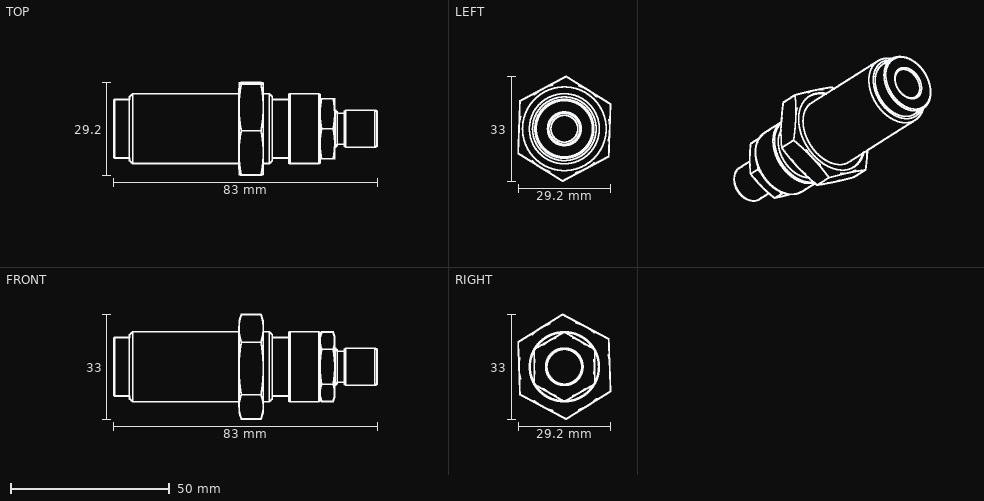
import cadquery as cq
import math


SLEEVE_START = 5.0
SLEEVE_END = 50.0
COLLAR_START = 55.1
COLLAR_END = 65.05
SLEEVE_RADIUS = 11.0
NECK_RADIUS = 9.3
BORE_RADIUS = 4.9
SLEEVE_CHAMFER = 1.0
EDGE_CHAMFER = 0.4
COLLAR_CHAMFER_LENGTH = 0.5
COLLAR_CHAMFER_DEPTH = 0.25

NUT_START = 39.5
NUT_LENGTH = 7.6
NUT_ACROSS_FLATS = 28.6
NUT_TURN = 2.0

SEAL_SECTION_RADIUS = 1.1
SEAL_PROUD = 0.2
SEAL_RING_RADIUS = SLEEVE_RADIUS + SEAL_SECTION_RADIUS
SEAL_CENTRE = NUT_START - SEAL_PROUD + SEAL_SECTION_RADIUS
RECESS_RADIUS = SLEEVE_RADIUS + 2 * SEAL_SECTION_RADIUS
RECESS_DEPTH = 2 * SEAL_SECTION_RADIUS - SEAL_PROUD

END_HEX_LENGTH = 4.6
END_HEX_ACROSS_FLATS = 19.0
END_HEX_END = COLLAR_END + END_HEX_LENGTH

HEX_CHAMFER_ANGLE = 18.0

PIN_END = 83.0
PIN_RADIUS = 5.9
PIN_NECK_RADIUS = 4.9
PIN_SHOULDER_END = 70.4
PIN_SHOULDER_CHAMFER = 0.6
PIN_HEAD_START = 72.7
PIN_HEAD_CHAMFER_DEPTH = 0.4
PIN_HEAD_CHAMFER_START = 0.5
PIN_HEAD_CHAMFER_END = 0.7
SEAT_RADIUS = 4.2
SEAT_TIP_RADIUS = 1.3
SEAT_ANGLE = 45.0
SEAT_DISH_DEPTH = 0.4


def revolve_about_x(profile):
    """Revolve a closed profile, drawn as (X, radius), about the X axis."""
    return profile.close().revolve(360, (0, 0, 0), (1, 0, 0))


def cylinder(start, end, radius):
    """Solid cylinder along the X axis."""
    return cq.Workplane("YZ", origin=(start, 0, 0)).circle(radius).extrude(end - start)


def chamfered_hexagon(start, length, across_flats, turn):
    """Hexagonal prism along X with corners at the top and bottom, both ends turned conical."""
    corner_radius = across_flats / math.sqrt(3)
    face_radius = across_flats / 2
    cone_length = (corner_radius - face_radius) * math.tan(math.radians(HEX_CHAMFER_ANGLE))
    end = start + length
    prism = (
        cq.Workplane("YZ", origin=(start, 0, 0))
        .transformed(rotate=(0, 0, 90 + turn))
        .polygon(6, 2 * corner_radius)
        .extrude(length)
    )
    envelope = revolve_about_x(
        cq.Workplane("XY")
        .moveTo(start, 0)
        .lineTo(start, face_radius)
        .lineTo(start + cone_length, corner_radius)
        .lineTo(end - cone_length, corner_radius)
        .lineTo(end, face_radius)
        .lineTo(end, 0)
    )
    return prism.intersect(envelope)


def make_housing():
    chamfered_sleeve_radius = SLEEVE_RADIUS - SLEEVE_CHAMFER
    collar_face_radius = SLEEVE_RADIUS - COLLAR_CHAMFER_DEPTH
    return revolve_about_x(
        cq.Workplane("XY")
        .moveTo(0, BORE_RADIUS + EDGE_CHAMFER)
        .lineTo(0, NECK_RADIUS - EDGE_CHAMFER)
        .lineTo(EDGE_CHAMFER, NECK_RADIUS)
        .lineTo(SLEEVE_START, NECK_RADIUS)
        .lineTo(SLEEVE_START, chamfered_sleeve_radius)
        .lineTo(SLEEVE_START + SLEEVE_CHAMFER, SLEEVE_RADIUS)
        .lineTo(SLEEVE_END - SLEEVE_CHAMFER, SLEEVE_RADIUS)
        .lineTo(SLEEVE_END, chamfered_sleeve_radius)
        .lineTo(SLEEVE_END, NECK_RADIUS)
        .lineTo(COLLAR_START, NECK_RADIUS)
        .lineTo(COLLAR_START, collar_face_radius)
        .lineTo(COLLAR_START + COLLAR_CHAMFER_LENGTH, SLEEVE_RADIUS)
        .lineTo(COLLAR_END - COLLAR_CHAMFER_LENGTH, SLEEVE_RADIUS)
        .lineTo(COLLAR_END, collar_face_radius)
        .lineTo(COLLAR_END, BORE_RADIUS)
        .lineTo(EDGE_CHAMFER, BORE_RADIUS)
    )


def make_locknut():
    blank = chamfered_hexagon(NUT_START, NUT_LENGTH, NUT_ACROSS_FLATS, NUT_TURN)
    bore = cylinder(NUT_START, NUT_START + NUT_LENGTH, SLEEVE_RADIUS)
    recess = cylinder(NUT_START, NUT_START + RECESS_DEPTH, RECESS_RADIUS)
    return blank.cut(bore).cut(recess).solids()


def make_seal_ring():
    return (
        cq.Workplane("XY")
        .center(SEAL_CENTRE, SEAL_RING_RADIUS)
        .circle(SEAL_SECTION_RADIUS)
        .revolve(360, (0, -SEAL_RING_RADIUS, 0), (1, -SEAL_RING_RADIUS, 0))
    )


def make_end_hexagon():
    blank = chamfered_hexagon(COLLAR_END, END_HEX_LENGTH, END_HEX_ACROSS_FLATS, 0)
    return blank.cut(cylinder(COLLAR_END, END_HEX_END, PIN_RADIUS)).solids()


def make_pin():
    """Spigot in the housing bore, shoulder in the hexagon, then neck and head outside."""
    spigot_start = COLLAR_START
    seat_depth = (SEAT_RADIUS - SEAT_TIP_RADIUS) / math.tan(math.radians(SEAT_ANGLE))
    seat_end = spigot_start + seat_depth
    head_face_radius = PIN_RADIUS - PIN_HEAD_CHAMFER_DEPTH
    body = revolve_about_x(
        cq.Workplane("XY")
        .moveTo(spigot_start, 0)
        .lineTo(spigot_start, BORE_RADIUS)
        .lineTo(COLLAR_END, BORE_RADIUS)
        .lineTo(COLLAR_END, PIN_RADIUS)
        .lineTo(PIN_SHOULDER_END - PIN_SHOULDER_CHAMFER, PIN_RADIUS)
        .lineTo(PIN_SHOULDER_END, PIN_RADIUS - PIN_SHOULDER_CHAMFER)
        .lineTo(PIN_SHOULDER_END, PIN_NECK_RADIUS)
        .lineTo(PIN_HEAD_START, PIN_NECK_RADIUS)
        .lineTo(PIN_HEAD_START, head_face_radius)
        .lineTo(PIN_HEAD_START + PIN_HEAD_CHAMFER_START, PIN_RADIUS)
        .lineTo(PIN_END - PIN_HEAD_CHAMFER_END, PIN_RADIUS)
        .lineTo(PIN_END, head_face_radius)
        .lineTo(PIN_END, 0)
    )
    dish_radius = (SEAT_TIP_RADIUS**2 + SEAT_DISH_DEPTH**2) / (2 * SEAT_DISH_DEPTH)
    dish_end = seat_end + SEAT_DISH_DEPTH
    seat = revolve_about_x(
        cq.Workplane("XY")
        .moveTo(spigot_start, 0)
        .lineTo(spigot_start, SEAT_RADIUS)
        .lineTo(seat_end, SEAT_TIP_RADIUS)
        .radiusArc((dish_end, 0), dish_radius)
    )
    return body.cut(seat).solids()


housing = make_housing()
locknut = make_locknut()
seal_ring = make_seal_ring()
end_hexagon = make_end_hexagon()
pin = make_pin()

result = cq.Compound.makeCompound(
    [housing.val(), locknut.val(), seal_ring.val(), end_hexagon.val(), pin.val()]
)